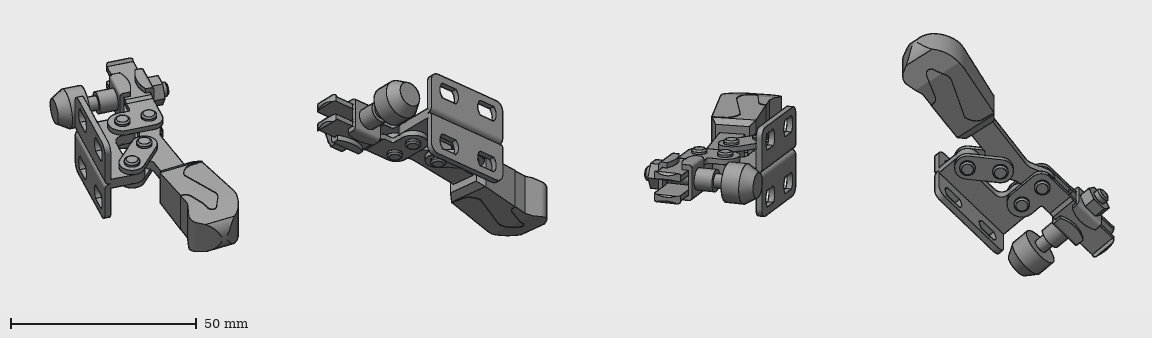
import cadquery as cq
import math


SHEET = 1.5
WEB_HALF = 1.5
PLATE_OUTER = WEB_HALF + SHEET
DEEP = 40.0

PIN_RADIUS = 2.1
PIN_HALF_LENGTH = 4.1
PIN_CHAMFER = 0.5
ARM_BASE_PIVOT = (4.0, 12.1)
ARM_LEVER_PIVOT = (4.0, 19.6)
LINK_LEVER_PIVOT = (15.15, 14.6)
LINK_BASE_PIVOT = (22.0, 8.85)

BASE_LENGTH = 25.5
BASE_WIDTH = 25.0
FLANGE_THICKNESS = 1.7
FLANGE_CORNER = 2.5
BEND_RADIUS = WEB_HALF
SLOT_CENTRE_X = 13.1
SLOT_PITCH_X = 13.5
SLOT_PITCH_Z = 16.0
SLOT_DIAMETER = 6.6
SLOT_ACROSS_FLATS = 4.6
POST_WIDTH = 8.0
POST_TOP = 15.2
POST_CORNER = 3.0
POCKET_FLOOR = 8.2
POCKET_LEFT_FILLET = 2.5
POCKET_FLOOR_END = 15.0
LUG_RADIUS = BASE_LENGTH - LINK_BASE_PIVOT[0]

ARM_BOTTOM = 15.65
ARM_HEIGHT = 7.5
ARM_TOP = ARM_BOTTOM + ARM_HEIGHT
ARM_MID = ARM_BOTTOM + ARM_HEIGHT / 2
ARM_TIP_X = -21.5
ARM_TIP_CORNER_X = -20.5
ARM_HUB_WIDTH = POST_WIDTH
ARM_HUB_RADIUS = ARM_HUB_WIDTH / 2
ARM_TOP_CORNER = 3.2
ARM_INNER_CORNER = 0.65
JAW_INNER = 2.0
JAW_OUTER = JAW_INNER + SHEET
JOG_START_X = -4.5
JOG_END_X = -3.3
FLARE_START_X = -20.0
FLARE_PEAK = (-20.8, 4.3)
FLARE_HEEL = (-20.9, 2.1)
FLARE_END_Z = (2.5, 3.55)

SPINDLE_X = -10.0
WASHER_LENGTH = 9.0
WASHER_HALF_WIDTH = 5.0
WASHER_THICKNESS = 1.1
WASHER_BEND_RADIUS = 1.0
UPPER_LIP_REACH = 1.3
LOWER_LIP_REACH = 1.8
LIP_BULGE = 1.1

ROD_RADIUS = 2.0
ROD_TOP = 29.4
ROD_CHAMFER = 0.5
NUT_ACROSS_FLATS = 7.0
NUT_TOP = 27.5
NUT_TURN = 30.0
SHOULDER_RADIUS = 3.05
SHOULDER_BOTTOM = 9.4
PAD_RADIUS = 5.5
PAD_TOP = 5.85
PAD_CONE_TOP = 0.75
PAD_BOTTOM = -2.63
PAD_FACE_RADIUS = 3.5

LEVER_HUB_RADIUS = 3.4
NECK_TOP = [(9.7, 20.85), (10.9, 20.6), (12.0, 20.68)]
BAR_END_TOP = (30.0, 23.2)
BAR_END_BOTTOM = (30.0, 16.05)
LOBE_BACK = [(22.3, 15.1), (21.7, 14.95), (21.2, 14.5)]
LOBE_TIP_BACK = (17.5, 11.8)
LOBE_TIP_FRONT = (13.0, 12.0)
LOBE_FRONT = [(11.9, 13.4), (10.3, 14.75), (8.1, 15.45)]

GRIP_TILT = 7.5
GRIP_FRONT_U = 30.65
GRIP_SHOULDER_U = 32.8
GRIP_WIDEST_U = 51.4
GRIP_CROWN_U = 58.4
GRIP_END_U = 60.8
GRIP_FRONT_HALF = 3.6
GRIP_SHOULDER_HALF = 4.9
GRIP_WIDEST_HALF = 6.0
GRIP_CROWN_HALF = 4.6
INSERT_PROUD = 0.15

NOSE_TOP = (27.76, 24.0)
NOSE_BOTTOM = (28.97, 14.77)
SHOULDER_TOP = (30.0, 26.05)
SHOULDER_UNDERSIDE = (31.4, 13.7)
CROWN_ARC = [(45.1, 29.5), (51.2, 29.36), (55.3, 26.95)]
END_ARC = [(57.7, 24.7), (58.32, 23.2), (58.2, 21.7)]
HEEL_ARC = [(55.5, 16.4), (54.2, 15.1), (52.2, 14.95)]
FINGER_HOLLOW = (47.6, 16.1)

PARTING_START = (30.0, 26.1)
PARTING_DIP = [(30.8, 21.9), (32.2, 20.35), (34.6, 19.5)]
PARTING_CREST = [(45.6, 24.8), (46.8, 24.9), (48.0, 24.6)]
PARTING_TONGUE = [(50.6, 23.4), (51.8, 21.9), (50.6, 20.6)]
PARTING_RETURN = [(44.8, 18.1), (43.8, 17.3), (43.5, 16.3)]
INSERT_LIMIT = (27.0, 13.0)


def slab(sketch, z_low, z_high):
    """Extrude a closed XY outline drawn at Z = 0 so that it spans z_low to z_high."""
    return sketch.extrude(z_high - z_low).translate((0, 0, z_low))


def pin(centre):
    """Pivot pin with both ends chamfered."""
    blank = cq.Workplane("XY").center(*centre).circle(PIN_RADIUS)
    return slab(blank, -PIN_HALF_LENGTH, PIN_HALF_LENGTH).faces("|Z").chamfer(PIN_CHAMFER)


def pin_holes(*centres):
    holes = cq.Workplane("XY").pushPoints(centres).circle(PIN_RADIUS)
    return slab(holes, -DEEP / 2, DEEP / 2)


def mirrored_pair(plate):
    """The plate on the +Z side and its mirror image on the -Z side."""
    return plate, plate.mirror("XY")


def base_web():
    post = (
        cq.Workplane("XY")
        .moveTo(0, 0)
        .lineTo(POST_WIDTH, 0)
        .lineTo(POST_WIDTH, POST_TOP)
        .lineTo(0, POST_TOP)
        .close()
    )
    post = slab(post, -WEB_HALF, WEB_HALF).edges("|Z and >Y").fillet(POST_CORNER)
    lug_x, lug_y = LINK_BASE_PIVOT
    run = lug_x - POCKET_FLOOR_END
    drop = lug_y - POCKET_FLOOR
    rise_radius = (run**2 + drop**2 - LUG_RADIUS**2) / (2 * (LUG_RADIUS + drop))
    rise_centre_y = POCKET_FLOOR + rise_radius
    share = LUG_RADIUS / (LUG_RADIUS + rise_radius)
    tangent_point = (lug_x - run * share, lug_y + (rise_centre_y - lug_y) * share)
    foot = (
        cq.Workplane("XY")
        .lineTo(BASE_LENGTH, 0)
        .lineTo(BASE_LENGTH, lug_y)
        .threePointArc((lug_x, lug_y + LUG_RADIUS), tangent_point)
        .radiusArc((POCKET_FLOOR_END, POCKET_FLOOR), rise_radius)
        .lineTo(0, POCKET_FLOOR)
        .close()
    )
    web = post.union(slab(foot, -WEB_HALF, WEB_HALF))
    floor_corner = cq.selectors.NearestToPointSelector((POST_WIDTH, POCKET_FLOOR, 0))
    return web.edges("|Z").edges(floor_corner).fillet(POCKET_LEFT_FILLET)


def base_flange():
    flange = (
        cq.Workplane("XZ")
        .center(BASE_LENGTH / 2, 0)
        .rect(BASE_LENGTH, BASE_WIDTH)
        .extrude(-FLANGE_THICKNESS)
        .edges("|Y")
        .fillet(FLANGE_CORNER)
    )
    places = cq.Workplane("XZ").center(SLOT_CENTRE_X, 0).rarray(SLOT_PITCH_X, SLOT_PITCH_Z, 2, 2)
    round_holes = places.circle(SLOT_DIAMETER / 2).extrude(-FLANGE_THICKNESS)
    flats = places.rect(SLOT_DIAMETER, SLOT_ACROSS_FLATS).extrude(-FLANGE_THICKNESS)
    return flange.cut(round_holes.intersect(flats))


def bend_groove():
    """Cusped groove left under the web by the two outward bends of the sheet."""
    middle = BEND_RADIUS * (1 - math.sqrt(0.5))
    groove = (
        cq.Workplane("YZ")
        .moveTo(0, -BEND_RADIUS)
        .threePointArc((middle, -middle), (BEND_RADIUS, 0))
        .threePointArc((middle, middle), (0, BEND_RADIUS))
        .close()
    )
    return groove.extrude(BASE_LENGTH)


def make_base():
    base = base_flange().union(base_web()).cut(bend_groove())
    return base.cut(pin_holes(ARM_BASE_PIVOT, LINK_BASE_PIVOT))


def arm_outline():
    outline = (
        cq.Workplane("XY")
        .moveTo(ARM_TIP_CORNER_X, ARM_BOTTOM)
        .threePointArc((ARM_TIP_X, ARM_MID), (ARM_TIP_CORNER_X, ARM_TOP))
        .lineTo(ARM_HUB_WIDTH, ARM_TOP)
        .lineTo(ARM_HUB_WIDTH, ARM_BASE_PIVOT[1])
        .threePointArc((ARM_BASE_PIVOT[0], ARM_BASE_PIVOT[1] - ARM_HUB_RADIUS), (0, ARM_BASE_PIVOT[1]))
        .lineTo(0, ARM_BOTTOM)
        .close()
        .extrude(DEEP)
    )
    top_corner = cq.selectors.NearestToPointSelector((ARM_HUB_WIDTH, ARM_TOP, DEEP / 2))
    inner_corner = cq.selectors.NearestToPointSelector((0, ARM_BOTTOM, DEEP / 2))
    outline = outline.edges("|Z").edges(top_corner).fillet(ARM_TOP_CORNER)
    return outline.edges("|Z").edges(inner_corner).fillet(ARM_INNER_CORNER)


def arm_plate():
    bent_sheet = (
        cq.Workplane("XZ")
        .moveTo(ARM_HUB_WIDTH, WEB_HALF)
        .lineTo(ARM_HUB_WIDTH, PLATE_OUTER)
        .lineTo(JOG_END_X, PLATE_OUTER)
        .lineTo(JOG_START_X, JAW_OUTER)
        .lineTo(FLARE_START_X, JAW_OUTER)
        .lineTo(*FLARE_PEAK)
        .lineTo(ARM_TIP_X, FLARE_END_Z[1])
        .lineTo(ARM_TIP_X, FLARE_END_Z[0])
        .lineTo(*FLARE_HEEL)
        .lineTo(FLARE_START_X, JAW_INNER)
        .lineTo(JOG_START_X, JAW_INNER)
        .lineTo(JOG_END_X, WEB_HALF)
        .close()
        .extrude(-DEEP)
    )
    return bent_sheet.intersect(arm_outline())


def make_arm():
    upper, lower = mirrored_pair(arm_plate())
    return upper.union(lower).union(pin(ARM_BASE_PIVOT)).union(pin(ARM_LEVER_PIVOT))


def link_plate():
    run = LINK_BASE_PIVOT[0] - LINK_LEVER_PIVOT[0]
    rise = LINK_BASE_PIVOT[1] - LINK_LEVER_PIVOT[1]
    middle = (LINK_LEVER_PIVOT[0] + run / 2, LINK_LEVER_PIVOT[1] + rise / 2)
    outline = (
        cq.Workplane("XY")
        .center(*middle)
        .transformed(rotate=(0, 0, math.degrees(math.atan2(rise, run))))
        .slot2D(math.hypot(run, rise) + 2 * LUG_RADIUS, 2 * LUG_RADIUS)
    )
    return slab(outline, WEB_HALF, PLATE_OUTER)


def make_link():
    upper, lower = mirrored_pair(link_plate())
    return upper.union(lower).union(pin(LINK_LEVER_PIVOT)).union(pin(LINK_BASE_PIVOT))


def flanged_washer(lip_reach):
    """U-shaped washer on the upper edge of the arm, its lips lying on the arm plates."""
    left = SPINDLE_X - WASHER_LENGTH / 2
    right = SPINDLE_X + WASHER_LENGTH / 2
    top = ARM_TOP + WASHER_THICKNESS
    blank = (
        cq.Workplane("XY")
        .moveTo(left, top)
        .lineTo(right, top)
        .lineTo(right, ARM_TOP - lip_reach)
        .threePointArc((SPINDLE_X, ARM_TOP - lip_reach - LIP_BULGE), (left, ARM_TOP - lip_reach))
        .close()
    )
    washer = slab(blank, -WASHER_HALF_WIDTH, WASHER_HALF_WIDTH)
    washer = washer.edges("|X and >Y").fillet(WASHER_BEND_RADIUS)
    channel = (
        cq.Workplane("XY")
        .center(SPINDLE_X, ARM_MID)
        .rect(WASHER_LENGTH, ARM_HEIGHT)
    )
    return washer.cut(slab(channel, -JAW_OUTER, JAW_OUTER))


def make_clamping_screw():
    half_profile = (
        cq.Workplane("XY", origin=(SPINDLE_X, 0, 0))
        .moveTo(0, PAD_BOTTOM)
        .lineTo(PAD_FACE_RADIUS, PAD_BOTTOM)
        .lineTo(PAD_RADIUS, PAD_CONE_TOP)
        .lineTo(PAD_RADIUS, PAD_TOP)
        .lineTo(ROD_RADIUS, PAD_TOP)
        .lineTo(ROD_RADIUS, SHOULDER_BOTTOM)
        .lineTo(SHOULDER_RADIUS, SHOULDER_BOTTOM)
        .lineTo(SHOULDER_RADIUS, ARM_BOTTOM - WASHER_THICKNESS)
        .lineTo(ROD_RADIUS, ARM_BOTTOM - WASHER_THICKNESS)
        .lineTo(ROD_RADIUS, ROD_TOP - ROD_CHAMFER)
        .lineTo(ROD_RADIUS - ROD_CHAMFER, ROD_TOP)
        .lineTo(0, ROD_TOP)
        .close()
    )
    rod = half_profile.revolve(360, (0, 0, 0), (0, 1, 0))
    nut_seat = ARM_TOP + WASHER_THICKNESS
    nut = (
        cq.Workplane("XZ", origin=(SPINDLE_X, nut_seat, 0))
        .transformed(rotate=(0, 0, NUT_TURN))
        .polygon(6, NUT_ACROSS_FLATS, circumscribed=True)
        .extrude(nut_seat - NUT_TOP)
    )
    upper_washer = flanged_washer(UPPER_LIP_REACH)
    lower_washer = flanged_washer(LOWER_LIP_REACH).mirror("XZ", (0, ARM_MID, 0))
    return rod.union(nut).union(upper_washer).union(lower_washer)


def line_then_arc(outline, arc):
    """Continue with a line to the start of a three-point arc, then with the arc."""
    start, middle, end = arc
    return outline.lineTo(*start).threePointArc(middle, end)


def grip_outline():
    outline = cq.Workplane("XY").moveTo(*NOSE_TOP).lineTo(*SHOULDER_TOP)
    for arc in (CROWN_ARC, END_ARC, HEEL_ARC):
        outline = line_then_arc(outline, arc)
    outline = outline.lineTo(*FINGER_HOLLOW).lineTo(*SHOULDER_UNDERSIDE).lineTo(*NOSE_BOTTOM)
    return slab(outline.close(), -DEEP / 2, DEEP / 2)


def insert_outline():
    """Area below and in front of the wavy parting line."""
    outline = cq.Workplane("XY").moveTo(*PARTING_START)
    for arc in (PARTING_DIP, PARTING_CREST, PARTING_TONGUE, PARTING_RETURN):
        outline = line_then_arc(outline, arc)
    left, bottom = INSERT_LIMIT
    outline = outline.lineTo(PARTING_RETURN[-1][0], bottom).lineTo(left, bottom)
    outline = outline.lineTo(left, PARTING_START[1])
    return slab(outline.close(), -DEEP / 2, DEEP / 2)


def grip_width(extra):
    """Width profile swept square to the tilted grip axis, widened by extra on each side."""
    profile = (
        cq.Workplane("XZ")
        .moveTo(GRIP_FRONT_U, -GRIP_FRONT_HALF - extra)
        .lineTo(GRIP_SHOULDER_U, -GRIP_SHOULDER_HALF - extra)
        .lineTo(GRIP_WIDEST_U, -GRIP_WIDEST_HALF - extra)
        .lineTo(GRIP_CROWN_U, -GRIP_CROWN_HALF - extra)
        .threePointArc((GRIP_END_U, 0), (GRIP_CROWN_U, GRIP_CROWN_HALF + extra))
        .lineTo(GRIP_WIDEST_U, GRIP_WIDEST_HALF + extra)
        .lineTo(GRIP_SHOULDER_U, GRIP_SHOULDER_HALF + extra)
        .lineTo(GRIP_FRONT_U, GRIP_FRONT_HALF + extra)
        .close()
        .extrude(DEEP, both=True)
    )
    return profile.rotate((0, 0, 0), (0, 0, 1), GRIP_TILT)


def make_grip():
    return grip_outline().intersect(grip_width(0)).cut(insert_outline())


def make_insert():
    return grip_outline().intersect(grip_width(INSERT_PROUD)).intersect(insert_outline())


def make_lever():
    hub_x, hub_y = ARM_LEVER_PIVOT
    neck_x, neck_y = NECK_TOP[0]
    reach = math.hypot(neck_x - hub_x, neck_y - hub_y)
    bearing = math.atan2(neck_y - hub_y, neck_x - hub_x)
    tangent_angle = bearing + math.acos(LEVER_HUB_RADIUS / reach)
    hub_tangent = (
        hub_x + LEVER_HUB_RADIUS * math.cos(tangent_angle),
        hub_y + LEVER_HUB_RADIUS * math.sin(tangent_angle),
    )
    bar = (
        cq.Workplane("XY")
        .moveTo(hub_x, hub_y - LEVER_HUB_RADIUS)
        .threePointArc((hub_x - LEVER_HUB_RADIUS, hub_y), hub_tangent)
    )
    bar = line_then_arc(bar, NECK_TOP).lineTo(*BAR_END_TOP).lineTo(*BAR_END_BOTTOM)
    bar = line_then_arc(bar, LOBE_BACK).lineTo(*LOBE_TIP_BACK).lineTo(*LOBE_TIP_FRONT)
    bar = line_then_arc(bar, LOBE_FRONT).close()
    lever = slab(bar, -WEB_HALF, WEB_HALF).cut(grip_outline())
    return lever.cut(pin_holes(ARM_LEVER_PIVOT, LINK_LEVER_PIVOT))


base = make_base()
arm = make_arm()
link = make_link()
lever = make_lever()
grip = make_grip()
insert = make_insert()
clamping_screw = make_clamping_screw()

bodies = [base, arm, link, lever, grip, insert, clamping_screw]
result = cq.Compound.makeCompound([body.solids().val() for body in bodies])